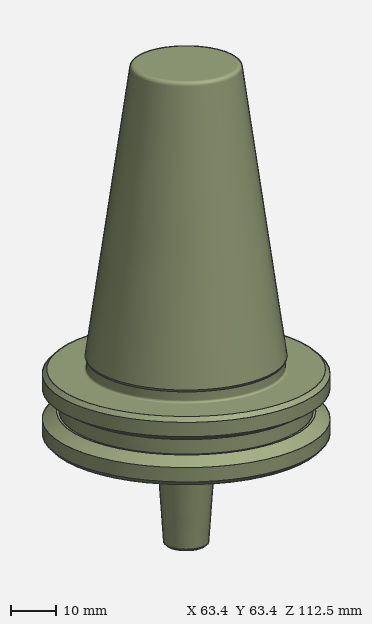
import cadquery as cq
import math

total_length = 112.5
flange_bottom = 25.0
flange_top = 41.0
groove_center = 33.0
gauge_plane = 44.1
collar_height = 0.6

flange_radius = 31.7
groove_radius = 28.0
groove_floor_width = 3.6
groove_shelf_width = 0.6
groove_flank_angle = 30.0
flange_edge_chamfer = 1.0

shank_taper = 7 / 24
gauge_radius = 22.3
neck_radius = 21.9
neck_round = 0.6
shank_end_round = 1.0

nose_tip_radius = 5.0
nose_half_angle = 4.0
nose_root_round = 5.0
nose_tip_chamfer = 0.6

shank_length = total_length - gauge_plane
shank_end_radius = gauge_radius - shank_length * shank_taper / 2
nose_slope = math.tan(math.radians(nose_half_angle))
nose_root_radius = nose_tip_radius + flange_bottom * nose_slope
shelf_radius = groove_radius + groove_shelf_width
flank_depth = flange_radius - shelf_radius
floor_half = groove_floor_width / 2
mouth_half = floor_half + flank_depth * math.tan(math.radians(groove_flank_angle))


def revolve_profile(points):
    """Revolve a closed (radius, height) outline about the Z axis."""
    profile = cq.Workplane("XZ").polyline(points).close()
    return profile.revolve(360, (0, 0, 0), (0, 1, 0))


def circle_edge_at(radius, height):
    """Select the circular edge with the given radius and height."""
    margin = 0.01
    reach = radius + margin
    return cq.selectors.BoxSelector(
        (-reach, -reach, height - margin),
        (reach, reach, height + margin),
        boundingbox=True,
    ) - cq.selectors.BoxSelector(
        (-radius + margin, -radius + margin, height - margin),
        (radius - margin, radius - margin, height + margin),
        boundingbox=True,
    )


body = revolve_profile([
    (0, 0),
    (nose_tip_radius, 0),
    (nose_root_radius, flange_bottom),
    (flange_radius, flange_bottom),
    (flange_radius, groove_center - mouth_half),
    (shelf_radius, groove_center - floor_half),
    (groove_radius, groove_center - floor_half),
    (groove_radius, groove_center + floor_half),
    (shelf_radius, groove_center + floor_half),
    (flange_radius, groove_center + mouth_half),
    (flange_radius, flange_top),
    (neck_radius, flange_top),
    (neck_radius, gauge_plane - collar_height),
    (gauge_radius, gauge_plane),
    (shank_end_radius, total_length),
    (0, total_length),
])

body = body.edges(circle_edge_at(nose_tip_radius, 0)).chamfer(nose_tip_chamfer)
body = body.edges(circle_edge_at(nose_root_radius, flange_bottom)).fillet(nose_root_round)

for height in [flange_bottom, flange_top]:
    body = body.edges(circle_edge_at(flange_radius, height)).chamfer(flange_edge_chamfer)

for radius, height, edge_round in [
    (neck_radius, flange_top, neck_round),
    (shank_end_radius, total_length, shank_end_round),
]:
    body = body.edges(circle_edge_at(radius, height)).fillet(edge_round)

result = body